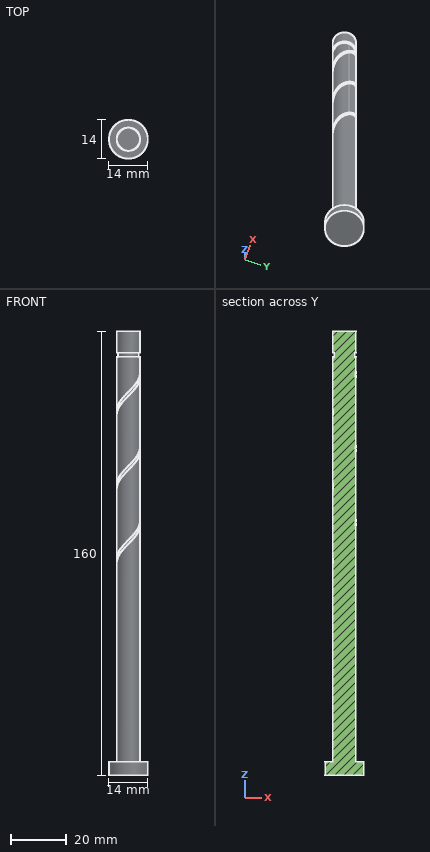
import cadquery as cq

total_length = 160.0
head_diameter = 14.0
head_height = 5.0
shaft_diameter = 8.5

ring_groove_top = 152.2
ring_groove_width = 1.5
ring_groove_depth = 0.5

spiral_turns = 3
spiral_length = 80.0
spiral_groove_width = 1.5
spiral_groove_depth = 0.2
cutter_overhang = 0.3
spiral_start_angle = 90

shaft_radius = shaft_diameter / 2
ring_groove_bottom = ring_groove_top - ring_groove_width
spiral_bottom = ring_groove_bottom - spiral_length


def make_pin():
    """Headed cylindrical pin standing on its head."""
    head = cq.Workplane("XY").circle(head_diameter / 2).extrude(head_height)
    shaft = cq.Workplane("XY").circle(shaft_radius).extrude(total_length)
    return head.union(shaft)


def make_ring_groove():
    """Ring of material removed near the free end."""
    return (
        cq.Workplane("XY")
        .workplane(offset=ring_groove_bottom)
        .circle(shaft_radius + cutter_overhang)
        .circle(shaft_radius - ring_groove_depth)
        .extrude(ring_groove_width)
    )


def make_spiral_groove():
    """Rectangular section swept along a helix around the shaft."""
    helix = cq.Wire.makeHelix(spiral_length / spiral_turns, spiral_length, shaft_radius)
    section_depth = spiral_groove_depth + cutter_overhang
    section_center = shaft_radius + (cutter_overhang - spiral_groove_depth) / 2
    return (
        cq.Workplane("XZ")
        .center(section_center, 0)
        .rect(section_depth, spiral_groove_width)
        .sweep(cq.Workplane(obj=helix), isFrenet=True)
        .rotate((0, 0, 0), (0, 0, 1), spiral_start_angle)
        .translate((0, 0, spiral_bottom))
    )


result = make_pin().cut(make_spiral_groove()).cut(make_ring_groove())